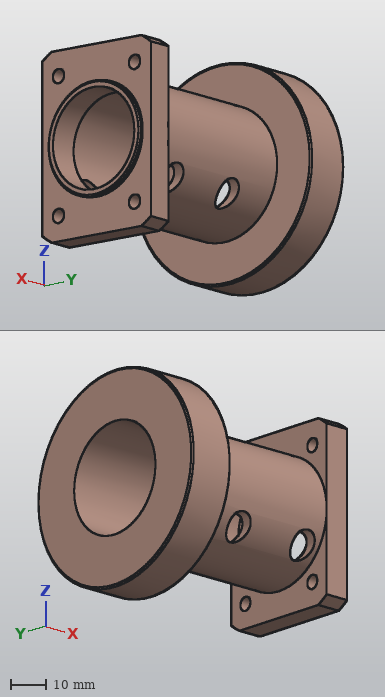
import cadquery as cq

total_length = 73.3
flange_length = 15.0
plate_start = 64.0
plate_thickness = 8.0
plate_end = plate_start + plate_thickness

flange_diameter = 65.0
flange_chamfer = 0.5
barrel_diameter = 40.0
spigot_diameter = 34.0
spigot_chamfer = flange_chamfer
bore_diameter = spigot_diameter
end_bore_diameter = 30.0

plate_height = 56.0
plate_width = barrel_diameter
bolt_hole_diameter = 4.2
bolt_spacing_y = 28.0
bolt_spacing_z = 41.0

cross_hole_diameter = 8.0
cross_hole_drop = 11.2
cross_hole_positions = (33.0, 58.0)


def cylinder_x(diameter, start, end):
    """Cylinder about the X axis between two X positions."""
    return cq.Workplane("YZ", origin=(start, 0, 0)).circle(diameter / 2).extrude(end - start)


def make_plate():
    blank = cq.Workplane("YZ", origin=(plate_start, 0, 0)).rect(plate_width, plate_height)
    plate = blank.extrude(plate_thickness)
    return plate.intersect(cylinder_x(flange_diameter, plate_start, plate_end))


def make_bolt_holes():
    pattern = cq.Workplane("YZ", origin=(plate_start, 0, 0)).rect(
        bolt_spacing_y, bolt_spacing_z, forConstruction=True
    )
    return pattern.vertices().circle(bolt_hole_diameter / 2).extrude(plate_thickness)


def make_cross_holes():
    centers = [(x, -cross_hole_drop) for x in cross_hole_positions]
    sketch = cq.Workplane("XZ").pushPoints(centers).circle(cross_hole_diameter / 2)
    return sketch.extrude(barrel_diameter, both=True)


flange = cylinder_x(flange_diameter, 0, flange_length).edges().chamfer(flange_chamfer)
barrel = cylinder_x(barrel_diameter, 0, plate_end)
spigot = cylinder_x(spigot_diameter, plate_start, total_length).faces(">X").chamfer(spigot_chamfer)

bore = cylinder_x(bore_diameter, 0, plate_start)
end_bore = cylinder_x(end_bore_diameter, 0, total_length)

body = flange.union(barrel).union(make_plate()).union(spigot)
result = body.cut(bore).cut(end_bore).cut(make_bolt_holes()).cut(make_cross_holes())